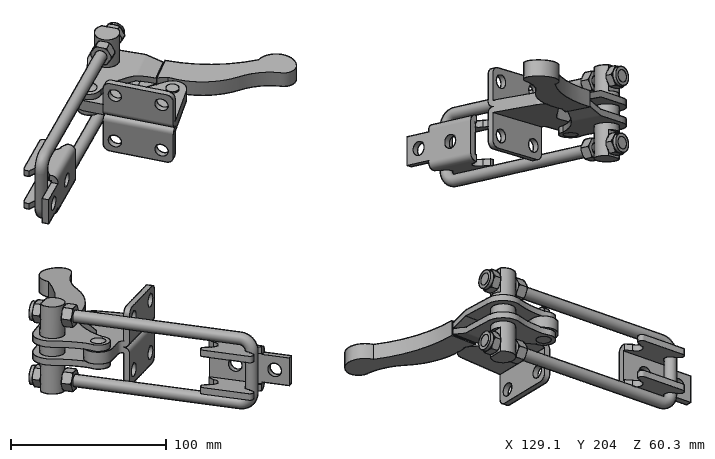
import cadquery as cq
import math


sheet = 4.0

pivot_x = -1.2
pivot_y = -31.8
pivot_pin_radius = 4.9
pivot_dome_height = 1.0

barrel_radius = 9.4
ear_x = 48.1
ear_y = -11.2
ear_radius = 9.2
ear_rivet_radius = 4.3
ear_rivet_height = 1.0
neck_x = 23.6
neck_radius = 7.0
plate_left = 13.5
plate_length = 47.5
plate_width = 53.5
plate_top = -43.8
plate_corner = 4.7
heel_radius = 2.7
hole_diameter = 9.0
hole_pitch_x = 31.5
hole_pitch_z = 36.0

handle_tilt = 3.0
arm_thickness = 4.3
arm_head_radius = 12.6
arm_foot_radius = 7.7
arm_slit = 0.5
taper_start = 22.2
taper_end = 34.0
taper_blend = 6.1
grip_start = 34.9
grip_thickness = 10.8
grip_rim = 1.0
grip_front_bottom = -6.3

bar_radius = 8.2
bar_length = 60.3
bar_flat_y = 6.1
bar_flat_start = 12.8

rod_radius = 4.0
rod_x = 1.0
rod_z = 22.2
rod_end_y = 14.0
rod_bottom_y = -135.8
rod_bend_radius = 8.0
nut_flats = 13.0
nut_chamfer = 0.6
lock_hex_height = 5.5
lock_collar_radius = 6.3
front_nut_height = 7.0

catch_sheet = 4.5
catch_left = -10.0
catch_right = 13.7
catch_top_y = -104.0
catch_bottom_y = -139.8
catch_width = 30.4
catch_corner = 2.2
seat_radius = 4.3
seat_mouth = 7.0
tab_width = 19.2
tab_end_y = -158.5
catch_hole_diameter = 9.2
catch_hole_pitch = 27.0
catch_hole_y = -121.5

arm_gap = 2 * sheet
bar_front_y = -bar_radius
nut_corners = nut_flats / math.cos(math.pi / 6)
arm_outer = arm_gap / 2 + arm_thickness


def xy_cylinder(x, y, radius, z_from, z_to):
    """A cylinder along Z."""
    return cq.Workplane("XY", origin=(x, y, z_from)).circle(radius).extrude(z_to - z_from)


def y_cylinder(x, z, radius, y_from, y_to):
    """A cylinder along Y."""
    return cq.Workplane("XZ", origin=(x, y_from, z)).circle(radius).extrude(y_from - y_to)


def spherical_cap(x, y, z, radius, height):
    """A shallow dome of the given rim radius standing on height z."""
    profile = cq.Workplane("XZ", origin=(x, y, z)).lineTo(radius, 0)
    sphere_radius = (radius**2 + height**2) / (2 * height)
    half_angle = math.asin(radius / sphere_radius) / 2
    drop = sphere_radius * (1 - math.cos(half_angle))
    middle = (sphere_radius * math.sin(half_angle), height - drop)
    return profile.threePointArc(middle, (0, height)).close().revolve(360, (0, 0, 0), (0, 1, 0))


def base_web():
    """Upright web: round barrel at the pivot, a sloped neck and a round ear."""
    plate_right = plate_left + plate_length
    barrel_top = pivot_y + barrel_radius
    barrel_bottom = pivot_y - barrel_radius

    def ear_tangent(x, y, side):
        """Point where a line from (x, y) touches the ear; side +1 or -1 picks which one."""
        distance = math.hypot(x - ear_x, y - ear_y)
        toward = math.atan2(y - ear_y, x - ear_x)
        angle = toward + side * math.acos(ear_radius / distance)
        return (ear_x + ear_radius * math.cos(angle), ear_y + ear_radius * math.sin(angle))

    return (
        cq.Workplane("XY", origin=(0, 0, -sheet))
        .moveTo(plate_left, plate_top)
        .radiusArc((plate_left - heel_radius, barrel_bottom), -heel_radius)
        .lineTo(pivot_x, barrel_bottom)
        .threePointArc((pivot_x - barrel_radius, pivot_y), (pivot_x, barrel_top))
        .lineTo(neck_x, barrel_top)
        .lineTo(*ear_tangent(neck_x, barrel_top, -1))
        .threePointArc((ear_x, ear_y + ear_radius), ear_tangent(plate_right, plate_top, 1))
        .lineTo(plate_right, plate_top)
        .close()
        .extrude(2 * sheet)
        .edges(cq.NearestToPointSelector((neck_x, barrel_top, 0)))
        .fillet(neck_radius)
    )


def base_plate():
    """Mounting plate with four holes and the crease where the two sheets bend outwards."""
    plate_x = plate_left + plate_length / 2
    plate = (
        cq.Workplane("XZ", origin=(plate_x, plate_top, 0))
        .rect(plate_length, plate_width)
        .extrude(sheet)
        .edges("|Y")
        .fillet(plate_corner)
        .faces("<Y")
        .workplane(origin=(plate_x, plate_top - sheet, 0))
        .rarray(hole_pitch_x, hole_pitch_z, 2, 2)
        .hole(hole_diameter)
    )
    crease = (
        cq.Workplane("YZ", origin=(plate_left, 0, 0))
        .moveTo(plate_top, 0)
        .radiusArc((plate_top - sheet, sheet), sheet)
        .lineTo(plate_top - sheet, -sheet)
        .radiusArc((plate_top, 0), sheet)
        .close()
        .extrude(plate_length)
    )
    return plate.cut(crease)


def make_base():
    pivot_pin = xy_cylinder(pivot_x, pivot_y, pivot_pin_radius, -arm_outer, arm_outer)
    pivot_dome = spherical_cap(pivot_x, pivot_y, arm_outer, pivot_pin_radius, pivot_dome_height)
    ear_rivet = xy_cylinder(ear_x, ear_y, ear_rivet_radius, 0, sheet + ear_rivet_height)
    return base_web().union(base_plate()).union(pivot_pin).union(pivot_dome).union(ear_rivet)


def on_handle(along, across):
    """XY point given along and across the tilted handle axis."""
    tilt = math.radians(handle_tilt)
    x = along * math.cos(tilt) - across * math.sin(tilt)
    y = along * math.sin(tilt) + across * math.cos(tilt)
    return (x, y)


def arm_outline():
    """Side shape of the two arms, from the pivot to the front of the grip."""
    return (
        cq.Workplane("XY")
        .moveTo(*on_handle(grip_start, arm_head_radius))
        .lineTo(*on_handle(0, arm_head_radius))
        .threePointArc((-arm_head_radius, 0), (-11.6, -4.9))
        .threePointArc((-9.2, -13.5), (-8.2, -21.6))
        .threePointArc((-8.0, -26.0), (pivot_x - arm_foot_radius, pivot_y))
        .threePointArc((pivot_x, pivot_y - arm_foot_radius), (pivot_x + arm_foot_radius, pivot_y))
        .threePointArc((17.5, -15.0), on_handle(grip_start, grip_front_bottom + grip_rim))
        .close()
    )


def make_arms():
    """Two arms that straddle the base and close up to a narrow slit."""
    reach = 61.2
    neck_inner = arm_slit / 2
    upper_section = (
        cq.Workplane("XZ", origin=(0, reach, 0))
        .moveTo(-reach, arm_gap / 2)
        .lineTo(-reach, arm_outer)
        .lineTo(taper_start, arm_outer)
        .lineTo(taper_end, neck_inner + arm_thickness)
        .lineTo(grip_start, neck_inner + arm_thickness)
        .lineTo(grip_start, neck_inner)
        .lineTo(taper_end, neck_inner)
        .lineTo(taper_start, arm_gap / 2)
        .close()
        .extrude(2 * reach)
        .edges(cq.NearestToPointSelector((taper_start, 0, arm_outer)))
        .fillet(taper_blend)
        .rotate((0, 0, 0), (0, 0, 1), handle_tilt)
    )
    upper_arm = arm_outline().extrude(arm_outer).intersect(upper_section)
    return upper_arm.union(upper_arm.mirror("XY"))


def make_grip():
    """Curved grip that ends in a round knob."""
    return (
        cq.Workplane("XY", origin=(0, 0, -grip_thickness / 2))
        .moveTo(*on_handle(grip_start, arm_head_radius + grip_rim))
        .threePointArc((65.6, 21.5), (91.0, 35.3))
        .threePointArc((103.0, 45.5), (116.2, 36.5))
        .threePointArc((114.8, 29.4), (108.5, 26.0))
        .threePointArc((96.6, 22.2), (85.0, 13.5))
        .threePointArc((63.8, 0.5), (42.0, -1.6))
        .lineTo(*on_handle(grip_start, grip_front_bottom))
        .close()
        .extrude(grip_thickness)
    )


def make_cross_bar():
    """Round bar through the arms, with a nut seat milled at each end and two rod holes."""
    bar = xy_cylinder(0, 0, bar_radius, -bar_length / 2, bar_length / 2)
    seat_length = bar_length / 2 - bar_flat_start
    for side in (1, -1):
        seat_z = side * (bar_flat_start + seat_length / 2)
        seat_y = bar_flat_y + bar_radius / 2
        seat = cq.Workplane("XY").box(2 * bar_radius, bar_radius, seat_length)
        bar = bar.cut(seat.translate((0, seat_y, seat_z)))
        bar = bar.cut(y_cylinder(rod_x, side * rod_z, rod_radius, -bar_radius, bar_radius))
    return bar


def make_handle():
    pivot_hole = xy_cylinder(pivot_x, pivot_y, pivot_pin_radius, -arm_outer, arm_outer)
    return make_arms().cut(pivot_hole).union(make_grip()).union(make_cross_bar())


def make_u_bolt():
    bend_y = rod_bottom_y + rod_bend_radius
    bend_z = rod_z - rod_bend_radius
    diagonal = rod_bend_radius * math.sqrt(0.5)
    path = (
        cq.Workplane("YZ", origin=(rod_x, 0, 0))
        .moveTo(rod_end_y, rod_z)
        .lineTo(bend_y, rod_z)
        .threePointArc((bend_y - diagonal, bend_z + diagonal), (rod_bottom_y, bend_z))
        .lineTo(rod_bottom_y, -bend_z)
        .threePointArc((bend_y - diagonal, -bend_z - diagonal), (bend_y, -rod_z))
        .lineTo(rod_end_y, -rod_z)
    )
    return cq.Workplane("XZ", origin=(rod_x, rod_end_y, rod_z)).circle(rod_radius).sweep(path)


def hexagon(z, y_low, height):
    """Hexagonal nut blank with chamfered corners, its lower face at y_low."""
    start = (rod_x, y_low, z)
    blank = cq.Workplane("XZ", origin=start).polygon(6, nut_corners).extrude(-height)
    rounding = y_cylinder(rod_x, z, nut_corners / 2, y_low, y_low + height)
    return blank.intersect(rounding.faces("|Y").edges().chamfer(nut_chamfer))


def make_lock_nut(z):
    """Nut with a round collar, on the milled seat of the cross bar."""
    nut = hexagon(z, bar_flat_y, lock_hex_height)
    nut = nut.union(y_cylinder(rod_x, z, lock_collar_radius, bar_flat_y, rod_end_y))
    return nut.cut(y_cylinder(rod_x, z, rod_radius, bar_flat_y, rod_end_y))


def make_front_nut(z):
    """Plain nut against the round front of the cross bar."""
    low = bar_front_y - front_nut_height
    nut = hexagon(z, low, front_nut_height)
    return nut.cut(y_cylinder(rod_x, z, rod_radius, low, bar_front_y))


def notch(end_y, inward):
    """Flared notch through both flanges; inward is the Y direction into the catch."""
    seat_y = end_y + inward * seat_radius
    return (
        cq.Workplane("XY", origin=(rod_x, 0, -catch_width / 2))
        .moveTo(-seat_mouth, end_y)
        .lineTo(-seat_radius, seat_y)
        .threePointArc((0, seat_y + inward * seat_radius), (seat_radius, seat_y))
        .lineTo(seat_mouth, end_y)
        .close()
        .extrude(catch_width)
    )


def make_catch():
    """Channel with notched flanges and a screw tab that extends its back."""
    length = catch_top_y - catch_bottom_y
    depth = catch_right - catch_left
    middle_y = (catch_top_y + catch_bottom_y) / 2
    back_x = catch_right - catch_sheet
    channel = (
        cq.Workplane("XY")
        .box(depth, length, catch_width)
        .translate((catch_left + depth / 2, middle_y, 0))
        .edges("|Y and >X")
        .fillet(catch_sheet)
        .edges("|Z and <X")
        .fillet(catch_corner)
    )
    inside = (
        cq.Workplane("XY")
        .box(depth, length, catch_width - 2 * catch_sheet)
        .translate((back_x - depth / 2, middle_y, 0))
    )
    tab_length = catch_top_y - tab_end_y
    tab = (
        cq.Workplane("XY")
        .box(catch_sheet, tab_length, tab_width)
        .translate((back_x + catch_sheet / 2, catch_top_y - tab_length / 2, 0))
    )
    catch = channel.cut(inside)
    catch = catch.cut(notch(catch_top_y, -1)).cut(notch(catch_bottom_y, 1))
    holes = (
        cq.Workplane("YZ", origin=(back_x, catch_hole_y, 0))
        .pushPoints([(0, 0), (-catch_hole_pitch, 0)])
        .circle(catch_hole_diameter / 2)
        .extrude(catch_sheet)
    )
    return catch.union(tab).cut(holes)


base = make_base()
handle = make_handle()
u_bolt = make_u_bolt()
catch = make_catch()
lock_nuts = [make_lock_nut(z) for z in (rod_z, -rod_z)]
front_nuts = [make_front_nut(z) for z in (rod_z, -rod_z)]

result = cq.Compound.makeCompound(
    [
        base.solids().val(),
        handle.solids().val(),
        u_bolt.solids().val(),
        catch.solids().val(),
        *[nut.solids().val() for nut in lock_nuts],
        *[nut.solids().val() for nut in front_nuts],
    ]
)